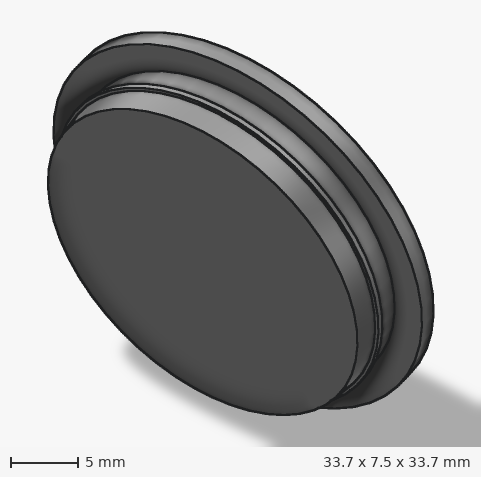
import cadquery as cq
import math

flange_radius = 16.85
neck_radius = 14.35
ring_radius = 14.65
tip_radius = 14.15

taper_length = 2.0
ring_width = 0.5
neck_length = 2.0
flange_thickness = 1.5
dome_height = 1.5

ring_back = -neck_length
ring_front = ring_back - ring_width
plug_end = ring_front - taper_length
dome_apex = flange_thickness + dome_height

dome_radius = (flange_radius**2 + dome_height**2) / (2 * dome_height)
dome_mid_z = flange_radius / 2
dome_mid_y = dome_apex - dome_radius + math.sqrt(dome_radius**2 - dome_mid_z**2)


def half_profile():
    """Closed half section of the cap in the YZ plane, from the axis up to the rim and back."""
    return (
        cq.Workplane("YZ")
        .moveTo(plug_end, 0)
        .lineTo(plug_end, tip_radius)
        .lineTo(ring_front, neck_radius)
        .lineTo(ring_front, ring_radius)
        .lineTo(ring_back, ring_radius)
        .lineTo(ring_back, neck_radius)
        .lineTo(0, neck_radius)
        .lineTo(0, flange_radius)
        .lineTo(flange_thickness, flange_radius)
        .threePointArc((dome_mid_y, dome_mid_z), (dome_apex, 0))
        .close()
    )


result = half_profile().revolve(360, (0, 0, 0), (1, 0, 0))